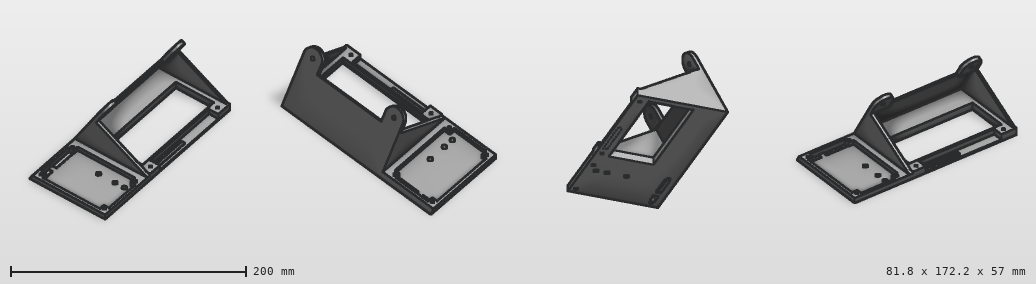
import cadquery as cq
import math

WIDTH = 81.8
LENGTH = 172.2
HEIGHT = 57.0
FRONT_ANGLE = 60.0
BASE_HEIGHT = 5.3
FRONT_TAN = math.tan(math.radians(FRONT_ANGLE))
CUT_TAN = 1 / FRONT_TAN

STAND_START = 58.4
PLATE_THICKNESS = 1.9
SOUTH_CHEEK = 3.8
NORTH_CHEEK = 2.0
FLOOR_HEIGHT = 7.0

WINDOW_X = (28.8, 69.8)
WINDOW_Y = (67.0, 165.2)
LIP_WIDTH = 0.7
LIP_HEIGHT = 1.7

RECESS_X = 71.8
RECESS_Y = (75.6, 156.0)
RECESS_FLOOR = 1.7
GROOVE_X = (74.4, 78.0)
GROOVE_Y = (76.7, 115.0)
GROOVE_DEPTH = 0.9
RAIL_HOLE_X = 76.3
RAIL_HOLE_Y = (69.6, 162.3)
RAIL_HOLE_DIAMETER = 2.5

EAR_RADIUS = 10.0
EAR_THICKNESS = 4.1
EAR_HOLE_DIAMETER = 3.5

POCKET_X = (6.0, 79.0)
POCKET_Y = (3.3, 51.8)
POCKET_FLOOR = 1.0
POST_LEFT_X = 11.4
POST_RIGHT_X = 73.5
POST_SOUTH_Y = 8.8
POST_NORTH_LEFT_Y = 46.5
POST_NORTH_RIGHT_Y = 45.5
POST_HOLE_X = (8.3, 76.3)
POST_HOLE_Y = (5.9, 48.7)
POST_HOLE_DIAMETER = 3.1
SLOT_END_X = 10.5
SLOT_SPANS_Y = ((POST_SOUTH_Y, 18.5), (23.8, POST_NORTH_LEFT_Y))
BUTTON_HOLE_X = (43.2, 61.0, 71.0)
BUTTON_HOLE_Y = 40.3
BUTTON_HOLE_DIAMETER = 4.3


def front_x(z, depth=0.0):
    """X of the plane lying `depth` behind the tilted front face, at height z."""
    return z / FRONT_TAN + depth / math.sin(math.radians(FRONT_ANGLE))


def cut_corner(depth):
    """Where the cheek-top line meets the plane `depth` behind the front face."""
    offset = front_x(0, depth)
    x = (BASE_HEIGHT + WIDTH * CUT_TAN + offset * FRONT_TAN) / (FRONT_TAN + CUT_TAN)
    return x, (x - offset) * FRONT_TAN


def box(x_span, y_span, z_span):
    size = [span[1] - span[0] for span in (x_span, y_span, z_span)]
    corner = (x_span[0], y_span[0], z_span[0])
    return cq.Workplane("XY").box(*size, centered=False).translate(corner)


def prism(profile, y_span):
    """Extrude a closed XZ profile along Y."""
    length = y_span[1] - y_span[0]
    return cq.Workplane("XZ", origin=(0, y_span[0], 0)).polyline(profile).close().extrude(-length)


def through_holes(points, diameter):
    return cq.Workplane("XY").pushPoints(points).circle(diameter / 2).extrude(HEIGHT)


def make_base():
    profile = [(0, 0), (WIDTH, 0), (WIDTH, BASE_HEIGHT), (front_x(BASE_HEIGHT), BASE_HEIGHT)]
    return prism(profile, (0, LENGTH))


def make_stand():
    inner_y = (STAND_START + SOUTH_CHEEK, LENGTH - NORTH_CHEEK)
    wedge = prism([(0, 0), (WIDTH, 0), (WIDTH, BASE_HEIGHT), cut_corner(0)], (STAND_START, LENGTH))
    cavity_profile = [
        (front_x(FLOOR_HEIGHT, PLATE_THICKNESS), FLOOR_HEIGHT),
        (WIDTH, FLOOR_HEIGHT),
        (WIDTH, HEIGHT),
        (front_x(HEIGHT, PLATE_THICKNESS), HEIGHT),
    ]
    floor_profile = [(0, 0), (WIDTH, 0), (WIDTH, FLOOR_HEIGHT), (front_x(FLOOR_HEIGHT), FLOOR_HEIGHT)]
    floor = prism(floor_profile, (inner_y[0], LENGTH))
    return wedge.cut(prism(cavity_profile, inner_y)).union(floor)


def cut_stand_floor(body):
    floor_z = (0, FLOOR_HEIGHT)
    lip_x = (WINDOW_X[1] - LIP_WIDTH, WINDOW_X[1])
    window = box(WINDOW_X, WINDOW_Y, floor_z).cut(box(lip_x, WINDOW_Y, (0, LIP_HEIGHT)))
    recess = box((RECESS_X, WIDTH), RECESS_Y, (RECESS_FLOOR, FLOOR_HEIGHT))
    groove = box(GROOVE_X, GROOVE_Y, (RECESS_FLOOR - GROOVE_DEPTH, RECESS_FLOOR))
    holes = through_holes([(RAIL_HOLE_X, y) for y in RAIL_HOLE_Y], RAIL_HOLE_DIAMETER)
    return body.cut(window).cut(recess).cut(groove).cut(holes)


def make_ear(center_y):
    """Round-topped ear lying in the front face, rising from the cheek-top line."""
    plane = cq.Plane(
        origin=(0, center_y, 0),
        xDir=(0, 1, 0),
        normal=(FRONT_TAN, 0, -1),
    )
    top = HEIGHT / math.sin(math.radians(FRONT_ANGLE))
    foot = math.hypot(*cut_corner(0))
    center = top - EAR_RADIUS
    ear = (
        cq.Workplane(plane)
        .moveTo(-EAR_RADIUS, foot)
        .lineTo(-EAR_RADIUS, center)
        .threePointArc((0, top), (EAR_RADIUS, center))
        .lineTo(EAR_RADIUS, foot)
        .close()
        .extrude(EAR_THICKNESS)
    )
    hole = cq.Workplane(plane).center(0, center).circle(EAR_HOLE_DIAMETER / 2).extrude(EAR_THICKNESS)
    return ear.cut(hole)


def cut_tray(body):
    depth = (POCKET_FLOOR, BASE_HEIGHT)
    left = (POCKET_X[0], POST_LEFT_X)
    right = (POST_RIGHT_X, POCKET_X[1])
    south = (POCKET_Y[0], POST_SOUTH_Y)
    posts = (
        (left, south),
        (right, south),
        (left, (POST_NORTH_LEFT_Y, POCKET_Y[1])),
        (right, (POST_NORTH_RIGHT_Y, POCKET_Y[1])),
    )
    pocket = box(POCKET_X, POCKET_Y, depth)
    for x_span, y_span in posts:
        pocket = pocket.cut(box(x_span, y_span, depth))
    body = body.cut(pocket)
    for y_span in SLOT_SPANS_Y:
        body = body.cut(box((POCKET_X[0], SLOT_END_X), y_span, (0, BASE_HEIGHT)))
    post_points = [(x, y) for x in POST_HOLE_X for y in POST_HOLE_Y]
    button_points = [(x, BUTTON_HOLE_Y) for x in BUTTON_HOLE_X]
    body = body.cut(through_holes(post_points, POST_HOLE_DIAMETER))
    return body.cut(through_holes(button_points, BUTTON_HOLE_DIAMETER))


result = cut_tray(cut_stand_floor(make_base().union(make_stand())))
for ear_y in (STAND_START + EAR_RADIUS, LENGTH - EAR_RADIUS):
    result = result.union(make_ear(ear_y))